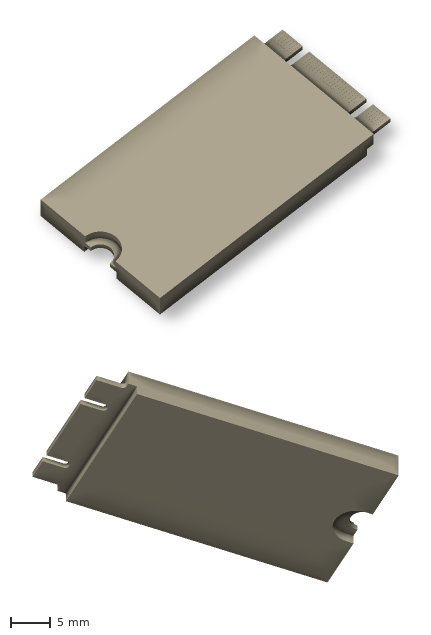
import cadquery as cq

width = 22.0
length = 42.0
height = 3.5

board_thickness = 0.75
board_bottom = 1.35
board_top = board_bottom + board_thickness

tab_width = 19.85
tab_length = 4.0
tab_fillet = 0.5
shoulder_y = length - tab_length
lower_cover_setback = 1.2

key_slot_width = 1.2
key_slot_depth = 3.5
key_slot_centers = (-5.63, 6.15)

contact_positions = 38
contact_span = 18.5
contact_pitch = contact_span / (contact_positions - 1)
contact_groups = ((0, 6), (10, 19), (33, 5))
contact_width = 0.35
contact_length = 1.75
contact_inset = 0.275
contact_thickness = 0.02

board_notch_radius = 1.75
upper_notch_radius = 2.77
lower_notch_radius = 3.0
lower_notch_straight = 1.0


def layer(layer_length, bottom, top, notch_radius, notch_straight=0):
    """Full-width slab from y = 0 with the mounting notch cut through it."""
    thickness = top - bottom
    slab = cq.Workplane("XY").box(width, layer_length, thickness, centered=(True, False, False))
    notch = cq.Workplane("XY").center(0, notch_straight).circle(notch_radius).extrude(thickness)
    if notch_straight > 0:
        sides = cq.Workplane("XY").box(
            2 * notch_radius, notch_straight, thickness, centered=(True, False, False)
        )
        notch = notch.union(sides)
    return slab.cut(notch).translate((0, 0, bottom))


def key_slot(center_x):
    """Cutter for one key slot; its inner end is a half circle."""
    radius = key_slot_width / 2
    outer_y = length
    arc_start_y = length - key_slot_depth + radius
    return (
        cq.Workplane("XY", origin=(center_x, 0, board_bottom))
        .moveTo(-radius, outer_y)
        .lineTo(-radius, arc_start_y)
        .threePointArc((0, arc_start_y - radius), (radius, arc_start_y))
        .lineTo(radius, outer_y)
        .close()
        .extrude(board_thickness)
    )


def circuit_board():
    """Board layer with the filleted, keyed connector tab."""
    board = layer(shoulder_y, board_bottom, board_top, board_notch_radius)
    tab = (
        cq.Workplane("XY", origin=(0, shoulder_y, board_bottom))
        .box(tab_width, tab_length, board_thickness, centered=(True, False, False))
    )
    board = board.union(tab)
    for side in (-1, 1):
        corner = (side * tab_width / 2, shoulder_y, board_bottom + board_thickness / 2)
        board = board.edges(cq.NearestToPointSelector(corner)).fillet(tab_fillet)
    for center_x in key_slot_centers:
        board = board.cut(key_slot(center_x))
    return board


def contacts():
    """Thin raised pads on the upper face of the tab."""
    centers = [
        ((first + step) * contact_pitch - contact_span / 2, 0)
        for first, count in contact_groups
        for step in range(count)
    ]
    center_y = length - contact_inset - contact_length / 2
    return (
        cq.Workplane("XY", origin=(0, center_y, board_top))
        .pushPoints(centers)
        .rect(contact_width, contact_length)
        .extrude(contact_thickness)
    )


upper_cover = layer(shoulder_y, board_top, height, upper_notch_radius)
lower_cover = layer(
    shoulder_y - lower_cover_setback, 0, board_bottom, lower_notch_radius, lower_notch_straight
)

result = circuit_board().union(upper_cover).union(lower_cover).union(contacts())